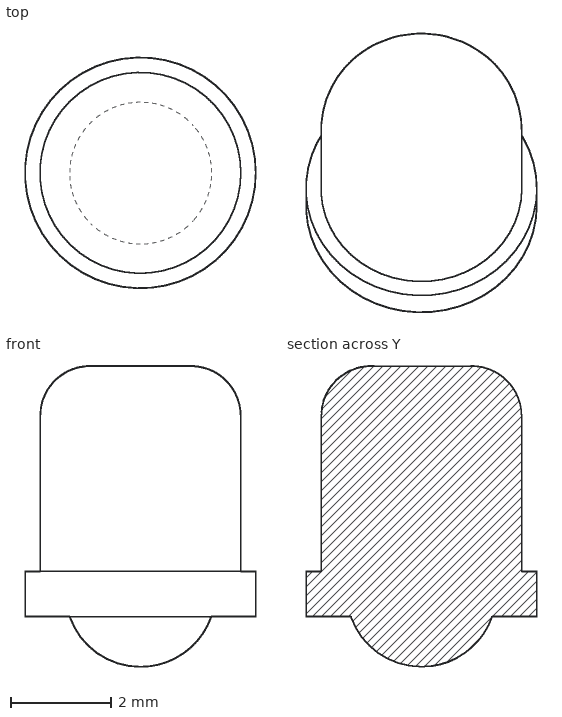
import cadquery as cq

total_height = 6.0
body_diameter = 4.0
top_fillet_radius = 1.0
flange_diameter = 4.6
flange_height = 0.9
ball_radius = 1.5
ball_protrusion = 1.0

body_top = total_height - ball_protrusion
ball_center_z = ball_radius - ball_protrusion


def make_body():
    """Cylindrical body with a rounded upper edge."""
    body = cq.Workplane("XY").circle(body_diameter / 2).extrude(body_top)
    return body.faces(">Z").edges().fillet(top_fillet_radius)


def make_flange():
    """Wider collar around the foot of the body."""
    return cq.Workplane("XY").circle(flange_diameter / 2).extrude(flange_height)


def make_ball():
    """Ball set into the foot, with only its lower cap exposed."""
    return cq.Workplane("XY").sphere(ball_radius).translate((0, 0, ball_center_z))


result = make_body().union(make_flange()).union(make_ball())